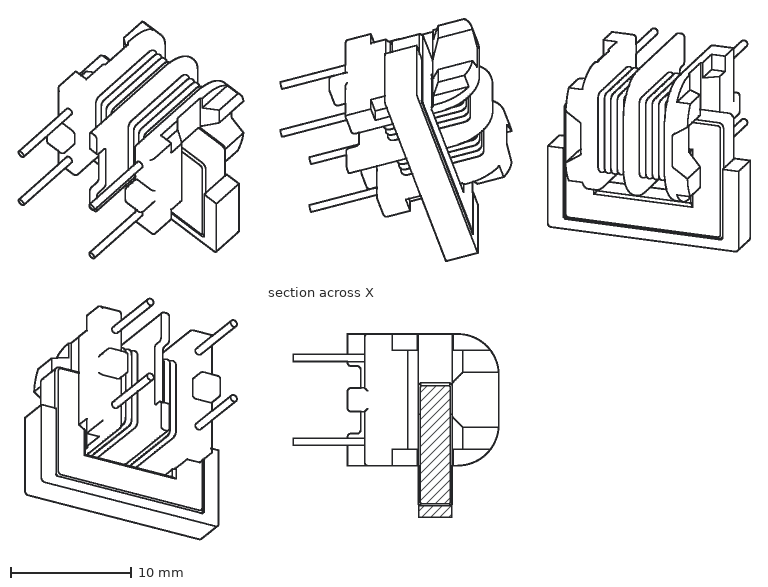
import cadquery as cq


flange_height = 11.0
back_y = 5.3
flange_front_y = -5.9
corner_radius = 3.45
edge_radius = 0.31
flange_inner_x = 3.28
flange_outer_x = 5.42
step_x = 4.22
step_front_y = -3.58
wing_half_height = 4.13
slot_floor_x = 4.06
slot_flare = 0.9
slot_corner_radius = 0.25

standoff_front_y = -7.32
standoff_inner_x = 3.45
standoff_height = 1.99
plate_thickness = 0.8
notch_height = 5.6
notch_floor_y = -6.23
notch_radius = 0.3

turns_per_winding = 5
winding_size = 7.2
wire_pitch = (flange_inner_x - plate_thickness / 2) / turns_per_winding
wire_radius = wire_pitch / 2
bend_radius = 0.3
hub_cover = 0.03

pin_x = 4.0
pin_z = 3.5
pin_radius = 0.31
pin_tip_y = -11.85

core_width = 14.18
core_depth = 2.81
core_top_z = 1.42
core_bottom_z = -8.9
core_corner_radius = 0.46
core_chamfer = 0.2
window_width = 8.33
window_bottom_z = -6.09
window_chamfer = 0.24
clip_width = 17.0
clip_depth = 2.78
clip_top_z = -2.6
clip_bottom_z = -9.8
clip_outer_radius = 0.31
clip_inner_chamfer = 0.15

margin = 0.17


def box(x_min, x_max, y_min, y_max, z_min, z_max):
    size = (x_max - x_min, y_max - y_min, z_max - z_min)
    return cq.Workplane("XY").box(*size, centered=False).translate((x_min, y_min, z_min))


def plate(x_min, x_max, front_y):
    """Upright plate with two large rounded corners at the back."""
    half = flange_height / 2
    blank = box(x_min, x_max, front_y, back_y, -half, half)
    return blank.edges("|X and >Y").fillet(corner_radius)


def slot_profile(plane):
    """Flared slot that narrows from the flange's outer face to the slot floor."""
    half_floor = core_depth / 2
    half_mouth = half_floor + slot_flare
    outside_x = flange_outer_x + margin
    return cq.Workplane(plane).polyline([
        (slot_floor_x, -half_floor),
        (flange_outer_x, -half_mouth),
        (outside_x, -half_mouth),
        (outside_x, half_mouth),
        (flange_outer_x, half_mouth),
        (slot_floor_x, half_floor),
    ]).close()


def flange():
    """Flange on the +X side with its standoff."""
    body = plate(flange_inner_x, flange_outer_x, flange_front_y)
    body = body.faces("<X or <Y").edges().fillet(edge_radius)

    for z_min, z_max in ((wing_half_height, flange_height), (-flange_height, -wing_half_height)):
        body = body.cut(box(step_x, flange_outer_x + margin, step_front_y, back_y + margin, z_min, z_max))

    upright = slot_profile("XY").extrude(flange_height / 2 + margin, both=True)
    channel = slot_profile("XZ").extrude(-back_y - margin)
    channel = channel.edges("|Y and <X").fillet(slot_corner_radius)
    body = body.cut(upright).cut(channel)

    half_standoff = standoff_height / 2
    standoff = box(
        standoff_inner_x, flange_outer_x,
        standoff_front_y, flange_front_y + 2 * edge_radius,
        -half_standoff, half_standoff,
    )
    standoff = standoff.edges("<Y or (|Y and >Z) or (|Y and <Z)").fillet(edge_radius)
    return body.union(standoff)


def centre_plate():
    half = plate_thickness / 2
    body = plate(-half, half, standoff_front_y)
    body = body.faces("<X or >X").edges("not <Y").fillet(edge_radius)
    half_notch = notch_height / 2
    notch_mouth_y = standoff_front_y - margin
    notch = box(-half - margin, half + margin, notch_mouth_y, notch_floor_y, -half_notch, half_notch)
    body = body.cut(notch.edges("|X and >Y").fillet(notch_radius))
    mouth_corners = cq.selectors.BoxSelector(
        (-half - margin, notch_mouth_y, -half_notch - margin),
        (half + margin, standoff_front_y + margin, half_notch + margin),
    )
    return body.edges("|X").edges(mouth_corners).fillet(notch_radius)


def windings():
    """Solid hub with the wire turns lying half sunk in it."""
    half_path = winding_size / 2 - wire_radius
    hub_half = half_path + hub_cover
    hub = (
        cq.Workplane("YZ").rect(2 * hub_half, 2 * hub_half)
        .extrude(flange_inner_x + margin, both=True)
        .edges("|X").fillet(bend_radius + hub_cover)
    )
    path_block = (
        cq.Workplane("YZ").rect(2 * half_path, 2 * half_path)
        .extrude(wire_pitch).edges("|X").fillet(bend_radius)
    )
    path = cq.Workplane(path_block.faces("<X").wires().val())
    turn = cq.Workplane("XY", origin=(0, half_path, 0)).circle(wire_radius).sweep(path)
    for side in (-1, 1):
        for index in range(turns_per_winding):
            x = side * (plate_thickness / 2 + (index + 0.5) * wire_pitch)
            hub = hub.union(turn.translate((x, 0, 0)))
    return hub


def pin(x, z):
    root_y = flange_front_y + margin
    return (
        cq.Workplane("XZ", origin=(x, root_y, z))
        .circle(pin_radius).extrude(root_y - pin_tip_y)
    )


def core():
    """Closed window core whose top leg runs through the bobbin."""
    half_x = core_width / 2
    half_y = core_depth / 2
    half_window = window_width / 2
    body = box(-half_x, half_x, -half_y, half_y, core_bottom_z, core_top_z)
    body = body.edges("|Y").fillet(core_corner_radius)
    body = body.faces("<Y or >Y").edges().chamfer(core_chamfer)
    window = box(-half_window, half_window, -half_y, half_y, window_bottom_z, -core_top_z)
    body = body.cut(window)
    window_rim = cq.selectors.BoxSelector(
        (-half_window - margin, -half_y - margin, window_bottom_z - margin),
        (half_window + margin, half_y + margin, margin - core_top_z),
    )
    return body.faces("<Y or >Y").edges(window_rim).chamfer(window_chamfer)


def clip():
    """U-shaped clip around the lower part of the core."""
    half_x = clip_width / 2
    half_y = clip_depth / 2
    half_core = core_width / 2
    body = box(-half_x, half_x, -half_y, half_y, clip_bottom_z, clip_top_z)
    body = body.edges("|Y and <Z").fillet(clip_outer_radius)
    pocket = box(-half_core, half_core, -half_y, half_y, core_bottom_z, clip_top_z)
    return body.cut(pocket.edges("|Y and <Z").chamfer(clip_inner_chamfer))


right_flange = flange()
result = windings().union(centre_plate())
result = result.union(right_flange).union(right_flange.mirror("YZ"))
result = result.union(core().union(clip()))
for x in (-pin_x, pin_x):
    for z in (-pin_z, pin_z):
        result = result.union(pin(x, z))